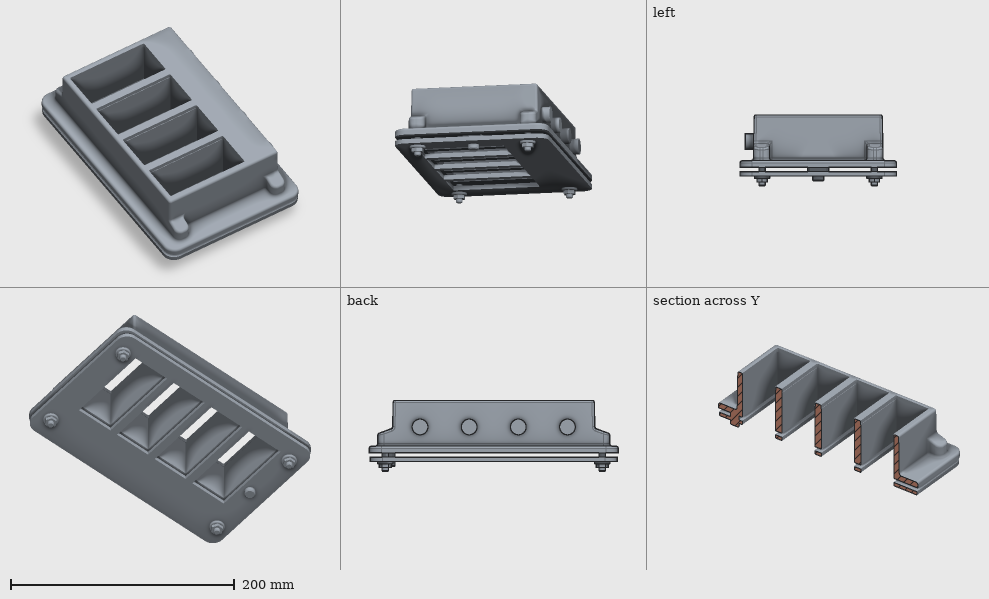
import cadquery as cq
import math


margin = 1.1

total_height = 63.5
flange_length = 223.0
flange_width = 140.0
flange_thickness = 6.0
corner_radius = 11.0
edge_radius = 2.2
plate_length = 221.2
plate_thickness = 4.0
plate_gap = 3.8
plate_bottom = -plate_gap - plate_thickness

box_length = 181.5
box_width = 116.2
cover_height = 47.0
draft_angle = 1.0

boss_span = 207.8
boss_width = 14.7
boss_corner_radius = 6.0
boss_slope = 20.0
boss_end_height = 17.2
blend_radius = 2.2

window_count = 4
window_pitch = 44.0
window_length = 36.8
window_back = 25.6
window_front = -52.6
window_width = window_back - window_front
window_center_y = (window_back + window_front) / 2
window_corner_radius = 1.1
skin_thickness = 4.0
skin_bottom = cover_height - skin_thickness
rib_thickness = 7.8
pocket_clearance = 0.2

socket_diameter = 14.0
socket_height = 23.2
socket_end = 65.3

screw_x = 97.0
screw_y = 50.2
screw_diameter = 6.0
screw_end = cover_height - total_height
screw_chamfer = 0.7
nut_height = 5.4
nut_across_flats = 9.5
nut_flange_diameter = 14.0
nut_flange_round = 1.1
nut_flange_height = 2.2

stud_x = 93.2
stud_diameter = 10.0
stud_length = 4.5
stud_chamfer = 1.0
spacer_width = 19.0
spacer_corner_radius = 1.8


def rounded_plate(length, width, thickness, bottom):
    """Flat plate with rounded corners."""
    plate = cq.Workplane("XY", origin=(0, 0, bottom)).rect(length, width).extrude(thickness)
    return plate.edges("|Z").fillet(corner_radius)


def boss_bar(side):
    """Bar along the front (-1) or back (+1) wall whose ends stand out as two sloped bosses."""
    center_y = side * (box_width - boss_width) / 2
    bar = (
        cq.Workplane("XY", origin=(0, center_y, flange_thickness))
        .sketch()
        .rect(boss_span, boss_width)
        .vertices()
        .fillet(boss_corner_radius)
        .finalize()
        .extrude(cover_height - flange_thickness - 2 * edge_radius, taper=draft_angle)
    )
    half_span = boss_span / 2
    peak_height = boss_end_height + half_span * math.tan(math.radians(boss_slope))
    roof = (
        cq.Workplane("XZ")
        .polyline([(-half_span, 0), (half_span, 0), (half_span, boss_end_height),
                   (0, peak_height), (-half_span, boss_end_height)])
        .close()
        .extrude(flange_width / 2, both=True)
    )
    return bar.intersect(roof)


def raised_box():
    """Drafted box with its four sloped bosses and blended edges."""
    box = (
        cq.Workplane("XY", origin=(0, 0, flange_thickness))
        .rect(box_length, box_width)
        .extrude(cover_height - flange_thickness, taper=draft_angle)
    )
    for side in (-1, 1):
        box = box.union(boss_bar(side))
    box = box.clean()

    wall_x = box_length / 2
    inner_y = box_width / 2 - boss_width
    middle_y = (box_width - boss_width) / 2
    for side_x in (-1, 1):
        for side_y in (-1, 1):
            seam = cq.selectors.BoxSelector(
                (side_x * (wall_x - margin), side_y * (inner_y - margin), flange_thickness + margin),
                (side_x * (wall_x + margin), side_y * (middle_y + margin), cover_height / 2),
            )
            box = box.edges(seam).fillet(blend_radius)

    box = box.edges().filter(lambda edge: edge.BoundingBox().zmax > cover_height - margin)
    return box.fillet(edge_radius)


def cover():
    """Flange and raised box in one piece, with a blend around the foot of the box."""
    flange = rounded_plate(flange_length, flange_width, flange_thickness, 0)
    flange = flange.faces(">Z").edges().fillet(edge_radius)
    body = flange.union(raised_box())
    foot = cq.selectors.BoxSelector(
        (-boss_span / 2 - margin, -box_width / 2 - margin, flange_thickness - margin),
        (boss_span / 2 + margin, box_width / 2 + margin, flange_thickness + margin),
    )
    return body.edges(foot).fillet(blend_radius)


def window_opening(center_x):
    """Rounded opening through the top skin."""
    return (
        cq.Workplane("XY", origin=(center_x, window_center_y, skin_bottom))
        .rect(window_length, window_width)
        .extrude(skin_thickness)
        .edges("|Z")
        .fillet(window_corner_radius)
    )


def pocket():
    """Square-cornered pocket from the skin down through the plate, split by ribs."""
    pocket_length = (window_count - 1) * window_pitch + window_length + 2 * pocket_clearance
    pocket_width = window_width + 2 * pocket_clearance
    base = cq.Workplane("XY", origin=(0, window_center_y, plate_bottom))
    height = skin_bottom - plate_bottom
    rib_places = base.rarray(window_pitch, 2.2, window_count - 1, 1)
    ribs = rib_places.rect(rib_thickness, pocket_width).extrude(height)
    return base.rect(pocket_length, pocket_width).extrude(height).cut(ribs)


def socket(center_x):
    """Round socket standing out of the back wall."""
    start_y = box_width / 2 - 2 * edge_radius
    return (
        cq.Workplane("XZ", origin=(center_x, socket_end, socket_height))
        .circle(socket_diameter / 2)
        .extrude(socket_end - start_y)
    )


def screw(x, y):
    """Screw from the flange through the plate, closed by a hexagon flange nut."""
    shank = (
        cq.Workplane("XY", origin=(x, y, screw_end))
        .circle(screw_diameter / 2)
        .extrude(flange_thickness - screw_end)
        .faces("<Z")
        .chamfer(screw_chamfer)
    )
    nut_corner_diameter = nut_across_flats / math.cos(math.radians(30))
    hexagon = (
        cq.Workplane("XY", origin=(x, y, plate_bottom - nut_height))
        .polygon(6, nut_corner_diameter)
        .extrude(nut_height)
    )
    nut_flange = (
        cq.Workplane("XY", origin=(x, y, plate_bottom - nut_flange_height))
        .circle(nut_flange_diameter / 2)
        .extrude(nut_flange_height)
        .faces("<Z")
        .edges()
        .fillet(nut_flange_round)
    )
    return shank.union(hexagon).union(nut_flange)


def stud():
    """Round stud below the plate with a rectangular spacer in the gap above it."""
    spacer = (
        cq.Workplane("XY", origin=(stud_x, 0, -plate_gap))
        .rect(stud_diameter, spacer_width)
        .extrude(plate_gap)
        .edges("|Z")
        .fillet(spacer_corner_radius)
    )
    pin = (
        cq.Workplane("XY", origin=(stud_x, 0, plate_bottom - stud_length))
        .circle(stud_diameter / 2)
        .extrude(stud_length)
        .faces("<Z")
        .chamfer(stud_chamfer)
    )
    return spacer.union(pin)


plate = rounded_plate(plate_length, flange_width, plate_thickness, plate_bottom)
result = cover().union(plate).union(stud()).cut(pocket())

for side_x in (-1, 1):
    for side_y in (-1, 1):
        result = result.union(screw(side_x * screw_x, side_y * screw_y))

for index in range(window_count):
    column_x = (index - (window_count - 1) / 2) * window_pitch
    result = result.union(socket(column_x)).cut(window_opening(column_x))